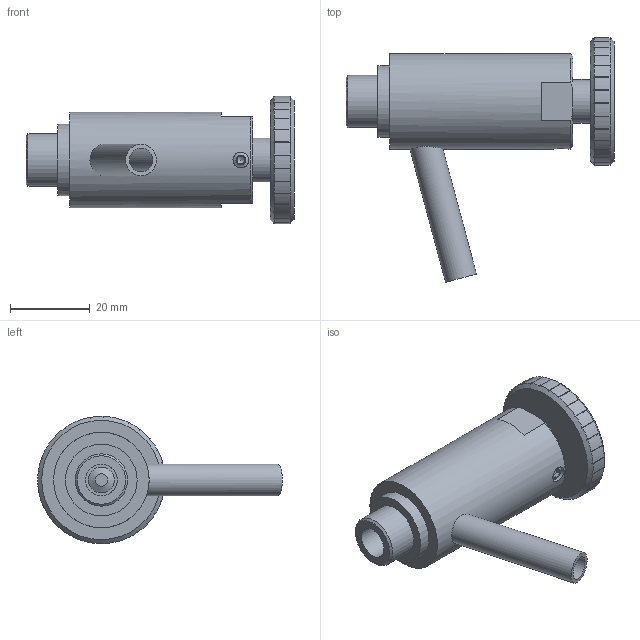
import cadquery as cq
import math


total_length = 67.33
nose_diameter = 13.16
nose_length = 8.0
nose_chamfer = 0.5
flange_diameter = 18.0
flange_end = 11.0
body_diameter = 24.0
body_end = 57.0
body_chamfer = 0.6
neck_diameter = 11.0

knob_diameter = 32.0
knob_width = 6.0
knob_chamfer = 1.0
groove_count = 30
groove_depth = 0.2
groove_width = 0.08
groove_angle = 4.3

flat_distance = 22.0
flat_length = 8.0

bore_diameter = 8.0
bore_depth = 25.0
pin_diameter = 6.5
pin_tip_diameter = 3.1
pin_length = 4.0
pin_cone_slope = 30.0

tube_diameter = 8.0
tube_hole_diameter = 6.0
tube_start = 17.0
tube_length = 46.0
tube_tilt = 15.0

screw_x = 54.0
screw_diameter = 4.0
screw_land_diameter = 2.5
screw_recess = 0.6
screw_chamfer = 0.45
socket_width = 2.0
socket_turn = 30.0
socket_depth = 1.0
socket_tip_depth = 0.6

body_radius = body_diameter / 2
knob_radius = knob_diameter / 2
knob_start = total_length - knob_width


def x_cylinder(diameter, start, end):
    return cq.Workplane("YZ").workplane(offset=start).circle(diameter / 2).extrude(end - start)


def make_body():
    nose = x_cylinder(nose_diameter, 0, nose_length).faces("<X").chamfer(nose_chamfer)
    flange = x_cylinder(flange_diameter, nose_length, flange_end)
    barrel = x_cylinder(body_diameter, flange_end, body_end).faces(">X").chamfer(body_chamfer)
    neck = x_cylinder(neck_diameter, body_end, knob_start)
    return nose.union(flange).union(barrel).union(neck)


def cut_flats(part):
    slab_height = body_radius
    for side in (1, -1):
        slab = cq.Workplane("XY").box(flat_length, body_diameter, slab_height)
        slab_z = side * (flat_distance + slab_height) / 2
        part = part.cut(slab.translate((body_end - flat_length / 2, 0, slab_z)))
    return part


def make_knob():
    """Chamfered disc with fine V grooves along its rim."""
    knob = x_cylinder(knob_diameter, knob_start, total_length).faces("<X or >X").chamfer(knob_chamfer)
    root = knob_radius - groove_depth
    mouth = knob_radius + groove_depth
    mouth_half_width = groove_width
    groove = (
        cq.Workplane("YZ")
        .workplane(offset=knob_start)
        .polyline([(-root, 0), (-mouth, mouth_half_width), (-mouth, -mouth_half_width)])
        .close()
        .extrude(knob_width)
    )
    for index in range(groove_count):
        angle = index * 360 / groove_count - groove_angle
        knob = knob.cut(groove.rotate((0, 0, 0), (1, 0, 0), angle))
    return knob


def tube_cylinder(diameter):
    tilt = math.radians(tube_tilt)
    direction = cq.Vector(math.sin(tilt), -math.cos(tilt), 0)
    start = cq.Vector(tube_start, 0, 0)
    return cq.Workplane(cq.Solid.makeCylinder(diameter / 2, tube_length, start, direction))


def make_pin():
    """Pin rising from the bore floor, with a shallow cone and a flat tip."""
    tip_x = bore_depth - pin_length
    pin_radius = pin_diameter / 2
    tip_radius = pin_tip_diameter / 2
    cone_length = (pin_radius - tip_radius) * math.tan(math.radians(pin_cone_slope))
    outline = [
        (tip_x, 0),
        (tip_x, tip_radius),
        (tip_x + cone_length, pin_radius),
        (bore_depth, pin_radius),
        (bore_depth, 0),
    ]
    return cq.Workplane("XY").polyline(outline).close().revolve(360, (0, 0), (1, 0))


def add_set_screw(part):
    """Open the radial hole down to the rim of the screw and shape the screw's end."""
    land_y = -body_radius + screw_recess
    rim_y = land_y + screw_chamfer
    socket_y = land_y + socket_depth
    socket_radius = socket_width / math.sqrt(3)

    pocket = (
        cq.Workplane("XY")
        .polyline(
            [
                (0, -body_radius),
                (screw_diameter / 2, -body_radius),
                (screw_diameter / 2, rim_y),
                (screw_land_diameter / 2, land_y),
                (0, land_y),
            ]
        )
        .close()
        .revolve(360, (0, 0), (0, 1))
    )
    socket = (
        cq.Workplane("XZ", origin=(0, land_y, 0))
        .transformed(rotate=(0, 0, socket_turn))
        .polygon(6, 2 * socket_radius)
        .extrude(-socket_depth)
    )
    socket_tip = cq.Workplane(
        cq.Solid.makeCone(
            socket_width / 2, 0, socket_tip_depth, cq.Vector(0, socket_y, 0), cq.Vector(0, 1, 0)
        )
    )
    recess = pocket.union(socket).union(socket_tip)
    return part.cut(recess.translate((screw_x, 0, 0)))


result = cut_flats(make_body()).union(make_knob())
result = result.union(tube_cylinder(tube_diameter))
result = result.cut(x_cylinder(bore_diameter, 0, bore_depth))
result = result.cut(tube_cylinder(tube_hole_diameter))
result = result.union(make_pin())
result = add_set_screw(result)